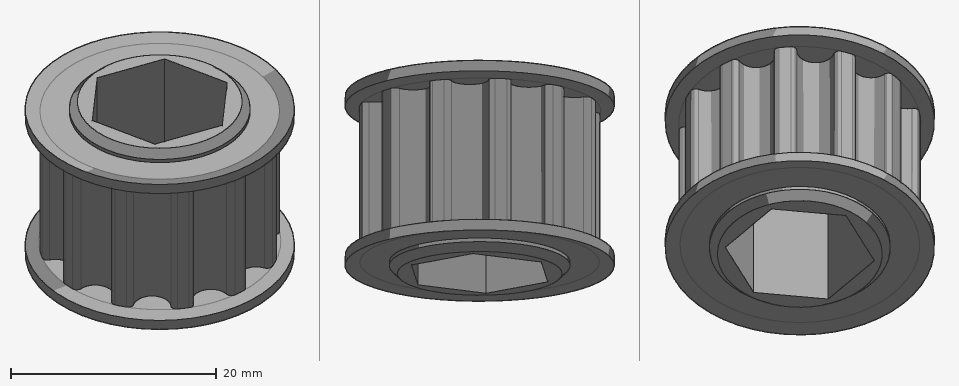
import cadquery as cq
import math

core_height = 18.7
hub_radius = 8.8
hub_chamfer = 0.79
hex_across_flats = 12.68

tooth_count = 12
tip_radius = 11.79
groove_centre_radius = 11.3
groove_radius = 1.83
tooth_fillet = 0.55

flange_radius = 13.1
flange_thickness = 1.07
rim_rise = 0.37
plate_radius = 11.65
rim_edge_setback = 0.79

half_height = core_height / 2
flange_outer_z = half_height - rim_edge_setback
flange_inner_z = flange_outer_z - rim_rise - flange_thickness
toothed_width = 2 * flange_inner_z


def make_toothed_ring():
    """Cylinder between the flanges with round grooves and rounded tooth tips."""
    lower_face = cq.Workplane("XY").workplane(offset=-flange_inner_z)
    blank = lower_face.circle(tip_radius).extrude(toothed_width)
    grooves = (
        lower_face
        .polarArray(groove_centre_radius, 0, 360, tooth_count)
        .circle(groove_radius)
        .extrude(toothed_width)
    )
    return blank.cut(grooves).edges("|Z").fillet(tooth_fillet)


def make_hub():
    """Full-height hub, chamfered at both ends."""
    hub = cq.Workplane("XY").circle(hub_radius).extrude(half_height, both=True)
    return hub.faces("<Z or >Z").chamfer(hub_chamfer)


def make_hex_bore():
    """Hexagonal through bore with two corners on the X axis."""
    corner_radius = hex_across_flats / 2 / math.cos(math.pi / 6)
    return cq.Workplane("XY").polygon(6, 2 * corner_radius).extrude(half_height, both=True)


def make_core():
    return make_toothed_ring().union(make_hub()).cut(make_hex_bore())


def make_flange(side):
    """Dished ring seated on the hub; side is +1 for the top flange, -1 for the bottom one."""
    inner_z = side * flange_inner_z
    plate_outer_z = side * (flange_inner_z + flange_thickness)
    rim_inner_z = side * (flange_inner_z + rim_rise)
    rim_outer_z = side * flange_outer_z
    section = [
        (hub_radius, inner_z),
        (tip_radius, inner_z),
        (flange_radius, rim_inner_z),
        (flange_radius, rim_outer_z),
        (plate_radius, plate_outer_z),
        (hub_radius, plate_outer_z),
    ]
    return cq.Workplane("XZ").polyline(section).close().revolve(360, (0, 0, 0), (0, 1, 0))


core = make_core()
flanges = [make_flange(side) for side in (1, -1)]

result = cq.Compound.makeCompound([core.val(), *[flange.val() for flange in flanges]])